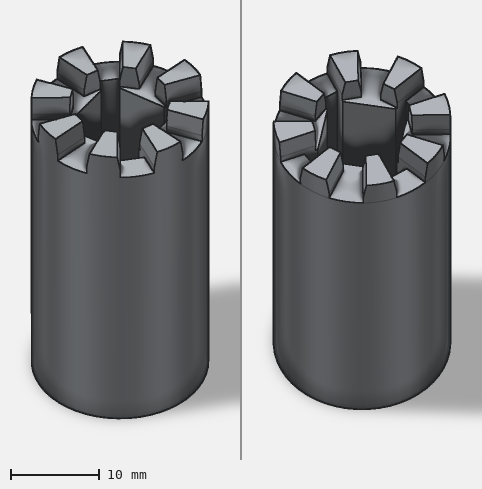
import cadquery as cq
import math

length = 39.0
outer_radius = 20.0 / 2

tooth_count = 8
tooth_height = 3.0
tooth_straight_height = 0.9
tooth_inner_distance = 5.58
flank_taper = 0.37
tooth_half_angle = 360 / tooth_count / 4

bore_width = 9.05
bore_angle = 22.5
corner_angle = bore_angle + 45
slot_count = 4
slot_floor_distance = 6.95

crown_floor = length - tooth_height
trim_allowance = 0.98
tooth_reach = outer_radius + trim_allowance


def tooth_section(height, flank_shift):
    """Closed trapezoid across a tooth pointing along +X."""
    slope = math.tan(math.radians(tooth_half_angle))
    inner_half_width = tooth_inner_distance * slope - flank_shift
    outer_half_width = tooth_reach * slope - flank_shift
    return (
        cq.Workplane("XY")
        .workplane(offset=height)
        .moveTo(tooth_inner_distance, -inner_half_width)
        .lineTo(tooth_reach, -outer_half_width)
        .lineTo(tooth_reach, outer_half_width)
        .lineTo(tooth_inner_distance, inner_half_width)
        .close()
    )


def make_tooth():
    """Tooth with upright flanks at the root and tapered flanks above."""
    taper_start = crown_floor + tooth_straight_height
    root = tooth_section(crown_floor, 0).extrude(tooth_straight_height)
    lower_wire = tooth_section(taper_start, 0).val()
    upper_wire = tooth_section(length, flank_taper).val()
    tip = cq.Solid.makeLoft([lower_wire, upper_wire], True)
    return root.union(cq.Workplane(tip))


def make_slot():
    """Wedge with radial sides and a flat floor, pointing along +X."""
    half_width = slot_floor_distance * math.tan(math.radians(tooth_half_angle))
    return (
        cq.Workplane("XY")
        .polyline([(0, 0), (slot_floor_distance, -half_width), (slot_floor_distance, half_width)])
        .close()
        .extrude(crown_floor)
    )


def around_axis(shape, angle):
    return shape.rotate((0, 0, 0), (0, 0, 1), angle)


sleeve = cq.Workplane("XY").circle(outer_radius).extrude(crown_floor)
bore = cq.Workplane("XY").rect(bore_width, bore_width).extrude(crown_floor)
sleeve = sleeve.cut(around_axis(bore, bore_angle))

slot = make_slot()
for index in range(slot_count):
    slot_angle = corner_angle + index * 360 / slot_count
    sleeve = sleeve.cut(around_axis(slot, slot_angle))

envelope = cq.Workplane("XY").circle(outer_radius).extrude(length)
tooth = make_tooth().intersect(envelope)
result = sleeve
for index in range(tooth_count):
    result = result.union(around_axis(tooth, index * 360 / tooth_count))